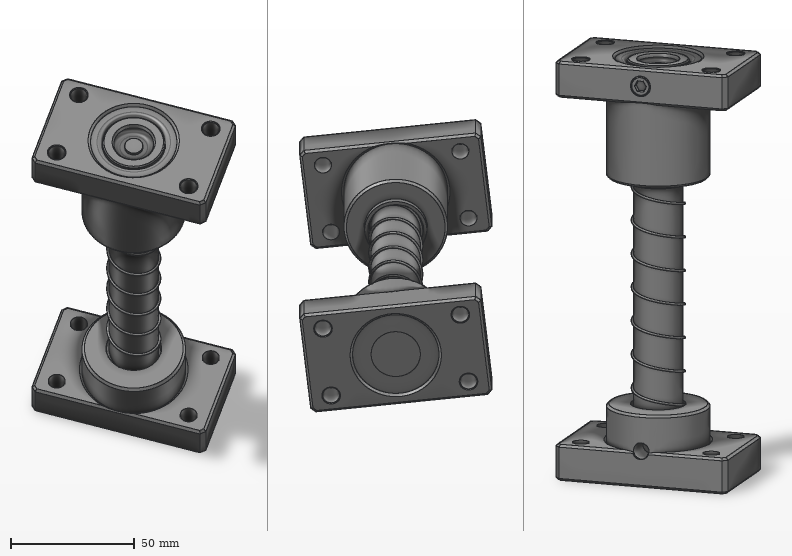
import cadquery as cq


total_height = 175.2
plate_length = 74.0
plate_width = 44.0
plate_thickness = 15.0
plate_corner = 2.0
plate_turn = 52.0
edge_chamfer = 1.0
screw_hole_diameter = 6.8
screw_hole_chamfer = 0.4
countersink_angle = 90.0
screw_hole_span_long = 56.0
screw_hole_span_short = 30.0
upper_plate_bottom = total_height - plate_thickness
lip_thickness = 3.0
seat_depth = plate_thickness - lip_thickness

bush_radius = 21.0
spigot_radius = 17.5
bush_length_below_plate = 35.0
bush_bottom = upper_plate_bottom - bush_length_below_plate
bush_top = total_height - edge_chamfer
bush_bore_radius = 12.8
bush_mouth_fillet = 2.1
collar_bottom = edge_chamfer
collar_top = 2 * plate_thickness

sleeve_radius = 12.6
sleeve_overhang = 2.3
sleeve_bottom = bush_bottom - sleeve_overhang
sleeve_top = bush_top
sleeve_top_chamfer = 0.5
cup_rim_radius = 8.8
cup_radius = 8.0
cup_depth = 3.9
cup_floor_fillet = 2.5
cup_floor = sleeve_top - cup_depth
cup_floor_thickness = 3.5

post_radius = 10.0
post_bottom = collar_bottom
post_top = cup_floor - cup_floor_thickness
pin_radius = 3.7
pin_height = 1.2
pin_top = cup_floor + pin_height

wire_radius = 0.49
coil_radius = 10.5
coil_pitch = 14.0
coil_turns = 7.5
spring_start = 25.4
spring_end = spring_start + coil_pitch * coil_turns
seat_radius = 11.2
collar_seat = spring_start - wire_radius
sleeve_seat = spring_end + wire_radius

set_screw_radius = 4.2
set_screw_chamfer = 0.5
set_screw_height = total_height - plate_thickness / 2
set_screw_tip = spigot_radius
socket_width = 5.0
socket_depth = 2.1
clamp_hole_radius = 3.3
clamp_hole_height = plate_thickness


def cylinder(radius, bottom, top):
    """Round bar about the Z axis between two heights."""
    return cq.Workplane("XY").workplane(offset=bottom).circle(radius).extrude(top - bottom)


def side_bar(radius, height, inner, outer):
    """Round bar square to the long side of a plate, between two distances from the Z axis."""
    bar = cq.Workplane("XZ", origin=(0, outer, height)).circle(radius).extrude(outer - inner)
    return bar.rotate((0, 0, 0), (0, 0, 1), plate_turn)


def make_seat_mouth():
    """Cone that chamfers the mouth of the body seat, wide end down."""
    return cq.Workplane(cq.Solid.makeCone(bush_radius + edge_chamfer, bush_radius, edge_chamfer))


def make_plate():
    """Plate on Z = 0: four screw holes, a body seat from below and a spigot bore through the lip."""
    plate = (
        cq.Workplane("XY")
        .rect(plate_length, plate_width)
        .extrude(plate_thickness)
        .edges("|Z")
        .chamfer(plate_corner)
        .faces("<Z or >Z")
        .chamfer(edge_chamfer)
        .faces(">Z")
        .workplane()
        .rect(screw_hole_span_long, screw_hole_span_short, forConstruction=True)
        .vertices()
        .cskHole(screw_hole_diameter, screw_hole_diameter + 2 * screw_hole_chamfer, countersink_angle)
        .faces(">Z")
        .workplane()
        .cskHole(2 * spigot_radius, 2 * (spigot_radius + edge_chamfer), countersink_angle)
        .cut(cylinder(bush_radius, 0, seat_depth))
        .cut(make_seat_mouth())
    )
    return plate.rotate((0, 0, 0), (0, 0, 1), plate_turn)


def make_upper_plate():
    """Upper plate, with a set screw hole in its long side."""
    plate = make_plate().translate((0, 0, upper_plate_bottom))
    return plate.cut(side_bar(set_screw_radius, set_screw_height, set_screw_tip, plate_width / 2))


def make_lower_plate():
    """Lower plate, turned over, with the clamping hole across its upper edge."""
    plate = make_plate().mirror("XY").translate((0, 0, plate_thickness))
    return plate.cut(side_bar(clamp_hole_radius, clamp_hole_height, 0, plate_width / 2))


def make_bush():
    """Guide bush: body sunk in the upper plate, spigot, round-mouthed bore and set screw pocket."""
    shoulder = upper_plate_bottom + seat_depth
    body = cylinder(bush_radius, bush_bottom, shoulder).faces("<Z").chamfer(edge_chamfer)
    bush = body.union(cylinder(spigot_radius, shoulder, bush_top))
    bush = bush.cut(cylinder(bush_bore_radius, bush_bottom, bush_top))
    bush = bush.faces(">Z").edges(cq.selectors.RadiusNthSelector(0)).fillet(bush_mouth_fillet)
    return bush.cut(side_bar(set_screw_radius, set_screw_height, set_screw_tip, plate_width / 2))


def make_collar():
    """Post collar: body sunk in the lower plate, spigot, post bore, spring seat and clamping hole."""
    body = cylinder(bush_radius, lip_thickness, collar_top).faces(">Z").chamfer(edge_chamfer)
    collar = body.union(cylinder(spigot_radius, collar_bottom, lip_thickness))
    collar = collar.cut(cylinder(post_radius, collar_bottom, collar_top))
    collar = collar.cut(cylinder(seat_radius, collar_seat, collar_top))
    return collar.cut(side_bar(clamp_hole_radius, clamp_hole_height, 0, plate_width / 2))


def make_cup():
    """Round dish in the sleeve's top: tapered rim and a filleted floor."""
    return (
        cq.Workplane("XZ")
        .moveTo(0, cup_floor)
        .lineTo(cup_radius - cup_floor_fillet, cup_floor)
        .radiusArc((cup_radius, cup_floor + cup_floor_fillet), -cup_floor_fillet)
        .lineTo(cup_rim_radius, sleeve_top)
        .lineTo(0, sleeve_top)
        .close()
        .revolve()
    )


def make_sleeve():
    """Sliding sleeve: dished top, pin hole, bore for the post and a seat for the spring."""
    sleeve = cylinder(sleeve_radius, sleeve_bottom, sleeve_top).faces(">Z").chamfer(sleeve_top_chamfer)
    sleeve = sleeve.cut(make_cup())
    sleeve = sleeve.cut(cylinder(post_radius, sleeve_bottom, post_top))
    sleeve = sleeve.cut(cylinder(seat_radius, sleeve_bottom, sleeve_seat))
    return sleeve.cut(cylinder(pin_radius, post_top, cup_floor))


def make_post():
    """Plain round post."""
    return cylinder(post_radius, post_bottom, post_top)


def make_end_pin():
    """Pin standing on the post, through the floor of the sleeve's cup."""
    return cylinder(pin_radius, post_top, pin_top)


def make_spring():
    """Left-hand coil of round wire."""
    path = cq.Wire.makeHelix(coil_pitch, coil_pitch * coil_turns, coil_radius, lefthand=True)
    wire = cq.Workplane("XZ").center(coil_radius, 0).circle(wire_radius)
    return wire.sweep(cq.Workplane(path), isFrenet=True).translate((0, 0, spring_start))


def make_set_screw():
    """Set screw flush with the side of the upper plate, with a hexagon socket."""
    outer = plate_width / 2
    screw = (
        cq.Workplane("XZ", origin=(0, outer, set_screw_height))
        .circle(set_screw_radius)
        .extrude(outer - set_screw_tip)
        .faces(">Y")
        .chamfer(set_screw_chamfer)
    )
    socket = (
        cq.Workplane("XZ", origin=(0, outer, set_screw_height))
        .polygon(6, socket_width)
        .extrude(socket_depth)
    )
    return screw.cut(socket).rotate((0, 0, 0), (0, 0, 1), plate_turn)


upper_plate = make_upper_plate()
lower_plate = make_lower_plate()
bush = make_bush()
collar = make_collar()
sleeve = make_sleeve()
post = make_post()
end_pin = make_end_pin()
spring = make_spring()
set_screw = make_set_screw()

result = cq.Compound.makeCompound([
    upper_plate.val(),
    lower_plate.val(),
    bush.val(),
    collar.val(),
    sleeve.val(),
    post.val(),
    end_pin.val(),
    spring.val(),
    set_screw.val(),
])